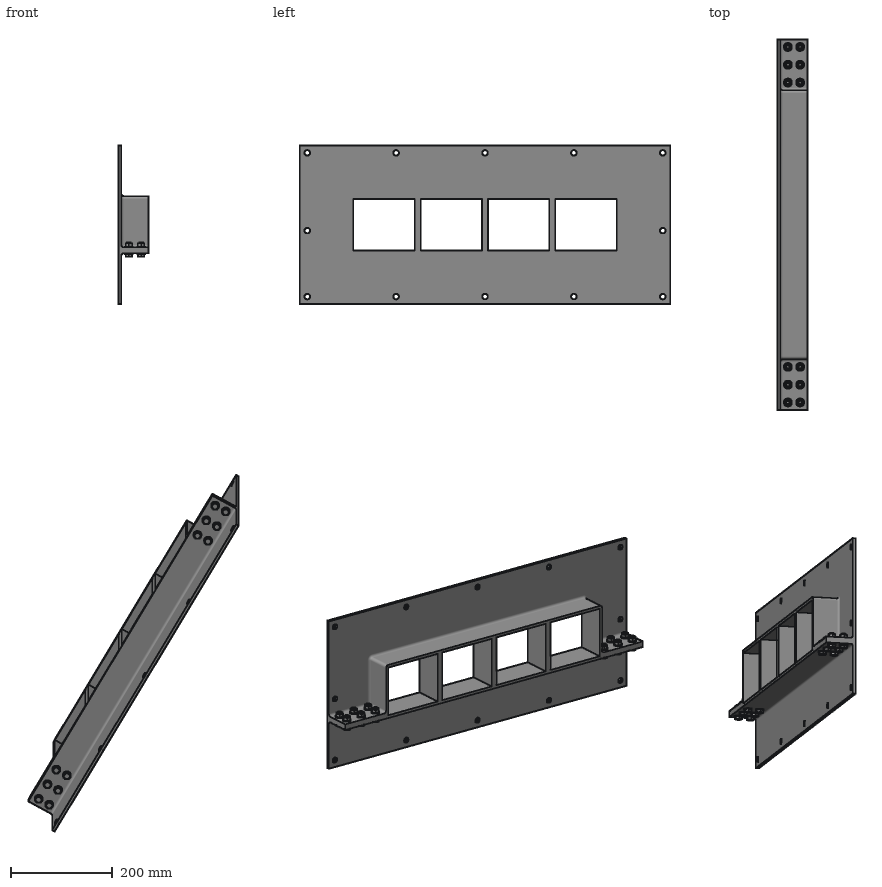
import cadquery as cq
import math

panel_length = 730.0
panel_height = 313.0
sheet = 6.0
total_depth = 60.0
bottom_panel_height = 106.0

sleeve_length = 530.0
window_count = 4
window_height = 101.0
divider = 2 * sheet
window_width = (sleeve_length - 2 * sheet - (window_count - 1) * divider) / window_count
window_pitch = window_width + divider
window_top = bottom_panel_height + window_height
sleeve_top = window_top + sheet
sleeve_corner_radius = 6.0
inside_corner_radius = 5.0

flange_bottom = bottom_panel_height - sheet
foot_top = bottom_panel_height + sheet

mounting_hole_diameter = 10.5
mounting_edge_distance = 15.0
mounting_holes_per_row = 5
mounting_side_hole_z = 145.0

bolt_diameter = 8.0
bolt_tip_diameter = 6.65
bolt_protrusion = 2.0
bolt_end_chamfer = (bolt_diameter - bolt_tip_diameter) / 2
hex_across_flats = 13.0
hex_face_diameter = 11.63
hex_cone_angle = math.radians(30)
head_height = 5.3
nut_height = 6.8
washer_diameter = 16.0
washer_thickness = 1.6

bolt_xs = (21.0, 45.0)
bolt_end_distance = 15.0
bolt_y_pitch = 35.0
bolts_per_row = 3

pick_margin = 0.01


def block(x_range, y_range, z_range):
    """Box spanning the given (low, high) ranges."""
    low, high = zip(x_range, y_range, z_range)
    size = [b - a for a, b in zip(low, high)]
    return cq.Workplane("XY").box(*size, centered=False).translate(low)


def cylinder(diameter, z_low, z_high):
    """Upright cylinder on the Z axis."""
    return cq.Workplane("XY").workplane(offset=z_low).circle(diameter / 2).extrude(z_high - z_low)


def pick_box(low, high):
    """Selector for edges centred inside the given box, with a small margin all round."""
    return cq.selectors.BoxSelector(
        [value - pick_margin for value in low],
        [value + pick_margin for value in high],
    )


def make_body():
    """Panel, flange, feet and solid sleeve block, with rounded corners."""
    half_length = panel_length / 2
    half_sleeve = sleeve_length / 2
    full_y = (-half_length, half_length)
    depth = (0, total_depth)

    panel = block((0, sheet), full_y, (0, panel_height))
    flange_and_feet = block(depth, full_y, (flange_bottom, foot_top))
    sleeve = block(depth, (-half_sleeve, half_sleeve), (bottom_panel_height, sleeve_top))
    sleeve = sleeve.edges("|X and >Z").fillet(sleeve_corner_radius)
    body = panel.union(flange_and_feet).union(sleeve)

    foot_corners = body.edges(
        pick_box((sheet, -half_sleeve, foot_top), (total_depth, half_sleeve, foot_top))
    ).edges("|X")
    panel_corners = body.edges(
        pick_box(
            (sheet, -half_length + sheet, flange_bottom),
            (sheet, half_length - sheet, sleeve_top),
        )
    )
    return body.newObject(foot_corners.vals() + panel_corners.vals()).fillet(inside_corner_radius)


def make_windows():
    """Cutters for the row of windows, running through the full depth."""
    first_y = -sleeve_length / 2 + sheet
    windows = cq.Workplane("XY")
    for i in range(window_count):
        y = first_y + i * window_pitch
        window = block((0, total_depth), (y, y + window_width), (bottom_panel_height, window_top))
        windows = windows.add(window)
    return windows.combine()


def make_mounting_holes():
    """Cutters for a row of holes along the top and bottom edges and one hole at each end."""
    end_y = panel_length / 2 - mounting_edge_distance
    pitch = 2 * end_y / (mounting_holes_per_row - 1)
    points = [(-end_y, mounting_side_hole_z), (end_y, mounting_side_hole_z)]
    for i in range(mounting_holes_per_row):
        for z in (mounting_edge_distance, panel_height - mounting_edge_distance):
            points.append((-end_y + i * pitch, z))
    return cq.Workplane("YZ").pushPoints(points).circle(mounting_hole_diameter / 2).extrude(sheet)


def hexagon(z_outer, z_inner):
    """Hexagonal prism with flats facing +X and -X, its outer edge turned down to a cone."""
    corner_diameter = hex_across_flats / math.cos(math.pi / 6)
    height = abs(z_outer - z_inner)
    prism = cq.Workplane("XY").polygon(6, corner_diameter).extrude(height)
    prism = prism.rotate((0, 0, 0), (0, 0, 1), 30)
    cone_reach = height / math.tan(hex_cone_angle)
    cone = (
        cq.Workplane("XY")
        .circle(hex_face_diameter / 2 + cone_reach)
        .workplane(offset=height)
        .circle(hex_face_diameter / 2)
        .loft()
    )
    hex_body = prism.intersect(cone)
    if z_outer < z_inner:
        hex_body = hex_body.mirror("XY")
    return hex_body.translate((0, 0, z_inner))


def make_bolt():
    """Bolt with washers, head below the flange and nut above the foot."""
    head_top = flange_bottom - washer_thickness
    nut_bottom = foot_top + washer_thickness
    nut_top = nut_bottom + nut_height
    shank = cylinder(bolt_diameter, head_top, nut_top + bolt_protrusion)
    bolt = shank.faces(">Z").chamfer(bolt_end_chamfer)
    bolt = bolt.union(cylinder(washer_diameter, head_top, flange_bottom))
    bolt = bolt.union(cylinder(washer_diameter, foot_top, nut_bottom))
    bolt = bolt.union(hexagon(head_top - head_height, head_top))
    return bolt.union(hexagon(nut_top, nut_bottom))


def bolt_positions():
    """(x, y) of every bolt on both feet."""
    first_y = panel_length / 2 - bolt_end_distance
    ys = [first_y - i * bolt_y_pitch for i in range(bolts_per_row)]
    return [(x, side * y) for x in bolt_xs for y in ys for side in (-1, 1)]


result = make_body().cut(make_windows()).cut(make_mounting_holes())
bolt = make_bolt()
for x, y in bolt_positions():
    result = result.union(bolt.translate((x, y, 0)))